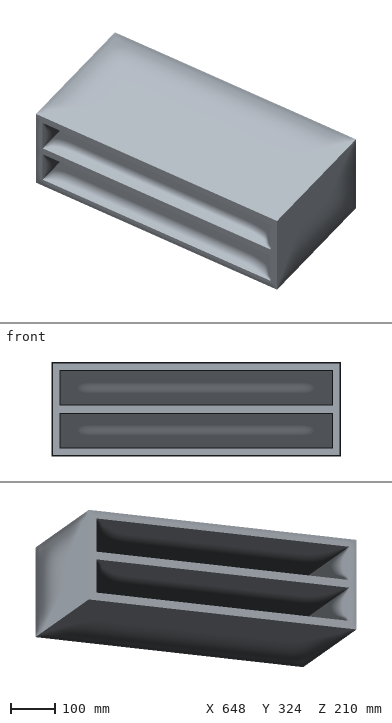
import cadquery as cq

width = 648.0
depth = 324.0
height = 210.0

board = 18.0
compartment_count = 2

compartment_width = width - 2 * board
compartment_depth = depth - board
compartment_height = (height - (compartment_count + 1) * board) / compartment_count


def compartment(level):
    """Cavity open to the front (-Y), counted upward from the bottom board."""
    floor_height = board + level * (compartment_height + board)
    return (
        cq.Workplane("XY")
        .box(compartment_width, compartment_depth, compartment_height, centered=(True, False, False))
        .translate((0, -depth / 2, floor_height))
    )


result = cq.Workplane("XY").box(width, depth, height, centered=(True, True, False))
for level in range(compartment_count):
    result = result.cut(compartment(level))